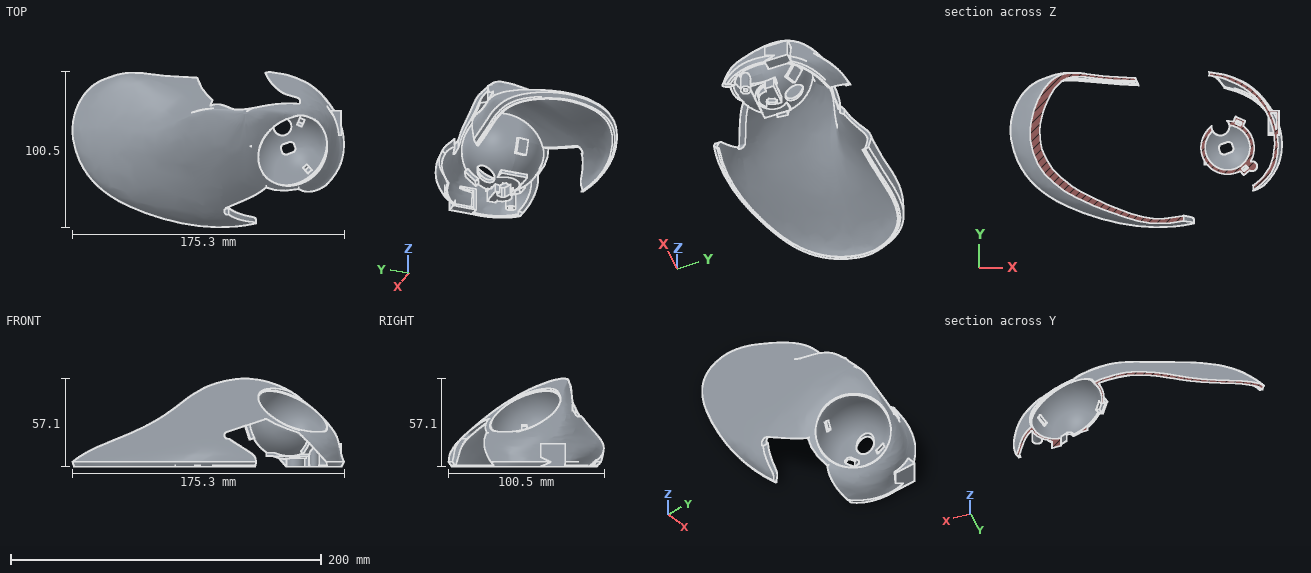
import cadquery as cq
import math

WALL_SIDE = 2.2
WALL_TOP = 2.0
EDGE_HEIGHT = 3.2
FAR = 200.0
OVERLAP = 1.0

BALL_CENTRE = cq.Vector(139.6, 0, 31.3)
CUP_INNER_RADIUS = 24.7
CUP_WALL = 1.9
CUP_OUTER_RADIUS = CUP_INNER_RADIUS + CUP_WALL
RIM_NORMAL = cq.Vector(0.42, -0.38, 0.82).normalized()
RIM_OFFSET = 4.6
RIM_RADIUS = math.sqrt(CUP_INNER_RADIUS**2 - RIM_OFFSET**2)
RIM_BEVEL = 0.5

BEARING_DIRECTIONS = [(66, 43), (186, 18), (310, 43)]
BEARING_SLOT_WIDTH = 3.4
BEARING_SLOT_LENGTH = 7.0
BEARING_BOSS_WIDTH = 7.0
BEARING_BOSS_LENGTH = 10.0
BEARING_SLOT_DEPTH = 2.5
BEARING_BOSS_DEPTH = 4.0

EJECT_HOLE_CENTRE = (135, 13.6)
EJECT_HOLE_RADIUS = 5.7

SENSOR_CENTRE = (138.7, -0.4)
SENSOR_WINDOW = (8.8, 6.8)
SENSOR_WINDOW_CHAMFER = 1.5
SENSOR_TILT = 20
PLATE_X = (124.5, 152)
PLATE_Y = (-11, 7)
PLATE_Z = (7.0, 9.2)
FOOT_X = (137.5, 152)
FOOT_Y = (0, 6)
LENS_POST_CENTRE = (143.2, -1)
LENS_POST_RADIUS = 6.3
LENS_POST_COLLAR_RADIUS = 7.3
COLLAR_DROP = 1.5
SCREW_POST_CENTRE = (155.5, -12)
SCREW_POST_RADIUS = 3.2
SCREW_POST_BORE_RADIUS = 1.25
SCREW_POST_HEIGHT = 14.0
SCREW_POST_BORE_DEPTH = 11.0

OUTLET_X = (166, 172.8)
OUTLET_Y = (8, 23.8)
OUTLET_HEIGHT = 15.0
OUTLET_WALL = 1.5

FOOT_OUTLINE = (0, [(1, 5), (15, -22.5), (48, -41), (114, -47.3), (159, -26), (170, -13), (173, 4),
                    (162, 27), (128, 41), (95, 41), (60, 42.5), (16, 38.5)])
SKIN_OUTLINES = [
    (EDGE_HEIGHT, [(0, 5), (14.5, -23.5), (48, -42.7), (114, -49.75), (160, -27.3), (172, -12), (174.75, 4),
                   (164, 29.5), (128, 43.5), (95, 43.5), (60, 45.3), (14, 41)]),
    (13, [(16, 6), (30, -21), (64, -40), (111, -46.3), (157, -26.5), (169, -13), (172, 4),
          (161, 32), (126, 48.75), (95, 46), (60, 46.2), (28, 42)]),
    (25, [(44, 10), (52, -10), (75, -29), (107, -35.6), (142, -25), (158, -10.5), (166.5, 8),
          (157, 29), (126, 41), (95, 41), (75, 38), (54, 31)]),
    (37, [(64, 12), (71, -4), (88, -17), (108, -21), (131, -12.5), (145, 0.5), (155, 13),
          (147, 28), (125, 33), (102, 32.5), (86, 30), (72, 23)]),
    (50, [(83, 20), (89, 9), (98, 2), (111, 0.7), (122, 5.5), (130.5, 13), (137.5, 20),
          (132, 25.5), (122, 28), (108, 28.5), (96, 28), (87.5, 25)]),
    (55.5, [(98, 22), (101, 17.5), (105, 15), (111, 14.4), (116, 15.5), (121, 18.5), (123.5, 22.5),
            (121, 25.5), (116, 26.7), (110, 27), (104, 26.7), (100, 25)]),
    (57.1, [(109.3, 22.7), (109.7, 22.1), (110.3, 21.7), (111, 21.6), (111.8, 21.7), (112.4, 22.1),
            (112.7, 22.7), (112.4, 23.2), (111.8, 23.5), (111, 23.6), (110.2, 23.5), (109.6, 23.2)]),
]

HAND_OPENING_TIP = (97.6, 20.5)
HAND_OPENING_LOWER = [(100.5, 18.3), (107, 14), (114, 9.5), (117.2, 6.5), (118, 3.5), (116.6, -1)]
HAND_OPENING_UPPER = [(164, -1), (163.5, 3), (153, 14.5), (145.5, 22), (137, 25), (130, 28), (124.6, 31),
                      (99.5, 22.6)]
THUMB_OPENING_REAR = [(80, 60), (80, 45.3), (83, 38.5), (86.5, 34), (90, 30.5), (88.5, 27)]
THUMB_OPENING_RIDGE = [(98, 27), (104, 24.8), (109, 24.7), (118, 26), (126, 27.5), (136, 28.6), (146, 28.3)]
THUMB_OPENING_WING = [(146.3, 30.5), (138.3, 34), (131.5, 38), (126.5, 43.5), (123.2, 50.5), (123, 60)]
WING_UNDERCUT = [(100, -1), (138.5, -1), (131.5, 7), (122, 17), (100, 17)]
WING_UNDERCUT_START_Y = 30


def box(x_range, y_range, z_range):
    size = (x_range[1] - x_range[0], y_range[1] - y_range[0], z_range[1] - z_range[0])
    return cq.Workplane("XY").box(*size, centered=False).translate((x_range[0], y_range[0], z_range[0]))


def post(centre, radius, bottom, top):
    return cq.Workplane("XY", origin=(*centre, bottom)).circle(radius).extrude(top - bottom)


def outline_parameters():
    """Shared spline parameters, so the points of all outlines line up along the skin."""
    points = SKIN_OUTLINES[0][1]
    parameters = [0]
    for start, end in zip(points, points[1:] + points[:1]):
        parameters.append(parameters[-1] + math.dist(start, end))
    return parameters


def outline_wire(points, height, inset=0):
    """Closed smooth outline, moved sideways into the part by the inset."""
    moved = []
    for i, (x, y) in enumerate(points):
        before = points[i - 1]
        after = points[(i + 1) % len(points)]
        run_x = after[0] - before[0]
        run_y = after[1] - before[1]
        length = math.hypot(run_x, run_y)
        moved.append(cq.Vector(x - inset * run_y / length, y + inset * run_x / length, height))
    return cq.Wire.assembleEdges([cq.Edge.makeSpline(moved, periodic=True, parameters=outline_parameters())])


def outer_body():
    height, points = FOOT_OUTLINE
    skin = cq.Solid.makeLoft([outline_wire(p, z) for z, p in SKIN_OUTLINES])
    edge_top = outline_wire(SKIN_OUTLINES[0][1], EDGE_HEIGHT)
    edge = cq.Solid.makeLoft([outline_wire(points, height), edge_top], True)
    return cq.Workplane(skin).union(cq.Workplane(edge))


def cavity():
    """Space under the skin, open at the desk."""
    wires = [outline_wire(p, z - WALL_TOP, WALL_SIDE) for z, p in SKIN_OUTLINES[:-1]]
    space = cq.Solid.makeLoft(wires)
    mouth_points = FOOT_OUTLINE[1]
    mouth = cq.Solid.makeLoft([outline_wire(mouth_points, -OVERLAP, WALL_SIDE), wires[0]], True)
    return cq.Workplane(space).union(cq.Workplane(mouth))


def hand_opening():
    outline = HAND_OPENING_LOWER + HAND_OPENING_UPPER
    profile = cq.Workplane("XZ").moveTo(*outline[0])
    profile = profile.spline(HAND_OPENING_LOWER[1:], includeCurrent=True)
    profile = profile.polyline(HAND_OPENING_UPPER, includeCurrent=True)
    return profile.threePointArc(HAND_OPENING_TIP, outline[0]).close().extrude(FAR)


def thumb_opening():
    profile = cq.Workplane("XY").polyline(THUMB_OPENING_REAR)
    profile = profile.spline(THUMB_OPENING_RIDGE, includeCurrent=True)
    profile = profile.spline(THUMB_OPENING_WING[:-1], includeCurrent=True).lineTo(*THUMB_OPENING_WING[-1])
    return profile.close().extrude(FAR)


def wing_undercut():
    start = cq.Workplane("XZ", origin=(0, WING_UNDERCUT_START_Y, 0))
    return start.polyline(WING_UNDERCUT).close().extrude(-FAR)


def rim_plane(offset):
    """Workplane across the ball's mouth, at a distance from the ball centre."""
    across = (1, 0, -RIM_NORMAL.x / RIM_NORMAL.z)
    return cq.Workplane(cq.Plane(BALL_CENTRE + RIM_NORMAL * offset, across, RIM_NORMAL))


def ball(radius):
    return cq.Workplane("XY").sphere(radius).translate(BALL_CENTRE.toTuple())


def bearing_block(angle, dip, length, width, depth):
    """Block pointing away from the ball centre, to a depth outside the cup's inner face."""
    reach = depth + OVERLAP
    middle = CUP_INNER_RADIUS - OVERLAP + reach / 2
    block = cq.Workplane("XY").box(reach, width, length).translate((middle, 0, 0))
    block = block.rotate((0, 0, 0), (0, 1, 0), dip)
    return block.rotate((0, 0, 0), (0, 0, 1), angle).translate(BALL_CENTRE.toTuple())


def cup_solid():
    above_rim = rim_plane(RIM_OFFSET + RIM_BEVEL).circle(FAR).extrude(FAR)
    cup = ball(CUP_OUTER_RADIUS).cut(above_rim)
    for angle, dip in BEARING_DIRECTIONS:
        boss = bearing_block(angle, dip, BEARING_BOSS_LENGTH, BEARING_BOSS_WIDTH, BEARING_BOSS_DEPTH)
        cup = cup.union(boss)
    return cup


def sensor_mount():
    foot = box(FOOT_X, FOOT_Y, (0, PLATE_Z[0]))
    mount = box(PLATE_X, PLATE_Y, PLATE_Z).union(foot)
    mount = mount.union(post(LENS_POST_CENTRE, LENS_POST_RADIUS, 0, PLATE_Z[1]))
    mount = mount.union(post(LENS_POST_CENTRE, LENS_POST_COLLAR_RADIUS, PLATE_Z[0] - COLLAR_DROP, PLATE_Z[1]))
    return mount.union(post(SCREW_POST_CENTRE, SCREW_POST_RADIUS, 0, SCREW_POST_HEIGHT))


def cup_openings():
    """Ball space, bevelled mouth, bearing slots, sensor window, eject hole and screw bore."""
    rim_centre = BALL_CENTRE + RIM_NORMAL * RIM_OFFSET
    mouth_radius = RIM_RADIUS + RIM_BEVEL
    bevel = cq.Solid.makeCone(RIM_RADIUS, mouth_radius, RIM_BEVEL, rim_centre, RIM_NORMAL)
    above = rim_plane(RIM_OFFSET + RIM_BEVEL).circle(mouth_radius).extrude(FAR)
    openings = ball(CUP_INNER_RADIUS).union(cq.Workplane(bevel)).union(above)
    for angle, dip in BEARING_DIRECTIONS:
        slot = bearing_block(angle, dip, BEARING_SLOT_LENGTH, BEARING_SLOT_WIDTH, BEARING_SLOT_DEPTH)
        openings = openings.union(slot)
    window = cq.Workplane("XY").rect(*SENSOR_WINDOW).extrude(BALL_CENTRE.z)
    window = window.edges("|Z").chamfer(SENSOR_WINDOW_CHAMFER)
    window = window.rotate((0, 0, 0), (0, 0, 1), SENSOR_TILT).translate((*SENSOR_CENTRE, 0))
    eject_hole = post(EJECT_HOLE_CENTRE, EJECT_HOLE_RADIUS, 0, BALL_CENTRE.z)
    bore = post(SCREW_POST_CENTRE, SCREW_POST_BORE_RADIUS, 0, SCREW_POST_BORE_DEPTH)
    return openings.union(window).union(eject_hole).union(bore)


def cable_outlet():
    frame = box(OUTLET_X, OUTLET_Y, (0, OUTLET_HEIGHT))
    inner_y = (OUTLET_Y[0] + OUTLET_WALL, OUTLET_Y[1] - OUTLET_WALL)
    inner_x = (OUTLET_X[0] - OVERLAP, OUTLET_X[1] - OUTLET_WALL)
    return frame.cut(box(inner_x, inner_y, (OUTLET_WALL, OUTLET_HEIGHT - OUTLET_WALL)))


cup = cup_solid().union(sensor_mount())
result = outer_body().cut(cavity().cut(cup), clean=False)
for opening in (hand_opening(), thumb_opening(), wing_undercut()):
    result = result.cut(opening.cut(cup), clean=False)
result = result.union(cable_outlet(), clean=False).cut(cup_openings(), clean=False)